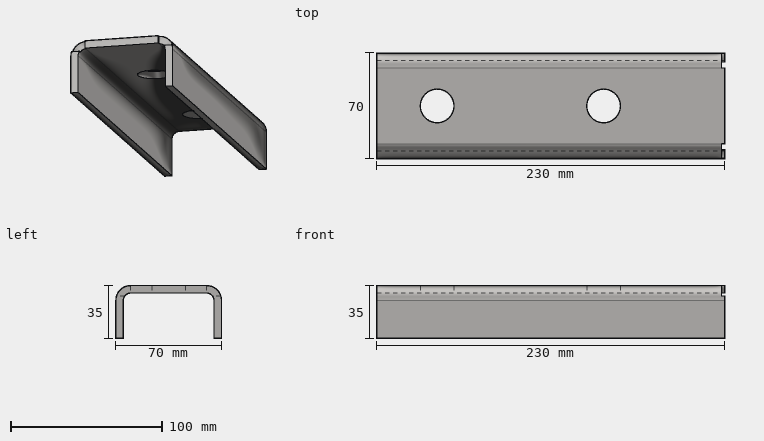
import cadquery as cq

length = 230.0
width = 70.0
height = 35.0
thickness = 5.0
outer_bend_radius = 10.0
inner_bend_radius = outer_bend_radius - thickness

hole_diameter = 22.0
first_hole_x = 40.0
hole_pitch = 110.0
hole_count = 2

relief_length = 2.0
relief_width = outer_bend_radius
relief_depth = 7.0


def make_channel():
    """Bent U-channel running along X from the origin, open towards -Z."""
    outside = (
        cq.Workplane("XY")
        .box(length, width, height, centered=(False, True, False))
        .edges("|X and >Z")
        .fillet(outer_bend_radius)
    )
    inside = (
        cq.Workplane("XY")
        .box(length, width - 2 * thickness, height - thickness, centered=(False, True, False))
        .edges("|X and >Z")
        .fillet(inner_bend_radius)
    )
    return outside.cut(inside)


def make_web_holes():
    """Cylinders that pierce the web."""
    centres = [(first_hole_x + i * hole_pitch, 0) for i in range(hole_count)]
    return cq.Workplane("XY").pushPoints(centres).circle(hole_diameter / 2).extrude(height)


def make_bend_relief(side):
    """Block at the end of one bend; side is +1 for +Y and -1 for -Y."""
    return (
        cq.Workplane("XY")
        .box(relief_length, relief_width, relief_depth)
        .translate((
            length - relief_length / 2,
            side * (width - relief_width) / 2,
            height - relief_depth / 2,
        ))
    )


result = make_channel().cut(make_web_holes())
for side in (-1, 1):
    result = result.cut(make_bend_relief(side))